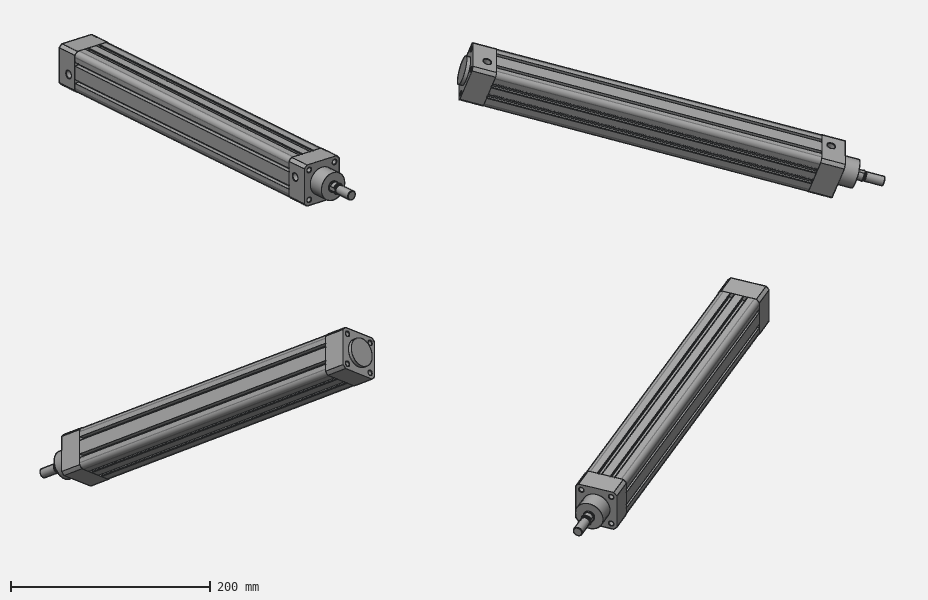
import cadquery as cq

rear_boss_length = 4.0
body_length = 394.0
cap_length = 25.0
front_boss_length = 18.0
flats_length = 8.2
rod_stickout = 27.0
thread_length = 21.0

rear_cap_start = rear_boss_length
rear_cap_end = rear_cap_start + cap_length
front_cap_end = rear_cap_start + body_length
front_cap_start = front_cap_end - cap_length
shoulder_x = front_cap_end + rod_stickout
tube_length = front_cap_start - rear_cap_end
front_boss_end = front_cap_end + front_boss_length

cap_width = 45.0
cap_corner_diameter = 59.0
boss_diameter = 30.0
screw_spacing = 32.5
screw_diameter = 5.0
screw_chamfer = 0.5
screw_depth = 16.0
port_diameter = 8.0
port_chamfer = 0.5
port_depth = 10.0
port_height = 5.2
port_setback = 15.0

tube_width = 44.8
tube_corner_radius = 5.5
slot_depth = 5.0
side_slot_width = 4.0
side_slot_offset = 9.4
top_slot_width = 4.6
top_slot_inner_width = 6.5
top_slot_lip = 1.2
top_slot_offset = 7.05

rod_diameter = 12.0
flats_width = 10.0
neck_diameter = 10.8
neck_start_gap = 2.0
shoulder_chamfer = 1.0
shoulder_land = 0.2
thread_diameter = 10.0
undercut_diameter = 8.8
undercut_length = 1.0
thread_chamfer = 0.6

neck_start = front_boss_end + neck_start_gap
neck_length = shoulder_x - shoulder_chamfer - shoulder_land - neck_start


def x_cylinder(start, length, diameter):
    return cq.Workplane("YZ", origin=(start, 0, 0)).circle(diameter / 2).extrude(length)


def chamfered_hole(mouth, inward, diameter, depth, chamfer):
    """Blind hole from the mouth point along inward, with a 45 degree chamfer at the mouth."""
    radius = diameter / 2
    bore = cq.Solid.makeCylinder(radius, depth, mouth, inward)
    countersink = cq.Solid.makeCone(radius + chamfer, radius, chamfer, mouth, inward)
    return bore.fuse(countersink)


def make_cap(start, outer_face, outward, boss_length, port_z):
    """Square cap with a round boss on its outer face; outward is the X direction of that face."""
    cap = (
        cq.Workplane("YZ", origin=(start, 0, 0))
        .rect(cap_width, cap_width)
        .extrude(cap_length)
        .intersect(x_cylinder(start, cap_length, cap_corner_diameter))
    )
    cap = cap.union(x_cylinder(outer_face, outward * boss_length, boss_diameter))
    half_spacing = screw_spacing / 2
    for y in (-half_spacing, half_spacing):
        for z in (-half_spacing, half_spacing):
            mouth = cq.Vector(outer_face, y, z)
            inward = cq.Vector(-outward, 0, 0)
            cap = cap.cut(chamfered_hole(mouth, inward, screw_diameter, screw_depth, screw_chamfer))
    port_mouth = cq.Vector(outer_face - outward * port_setback, -cap_width / 2, port_z)
    port = chamfered_hole(port_mouth, cq.Vector(0, 1, 0), port_diameter, port_depth, port_chamfer)
    return cap.cut(port)


def tube_groove(y, z, y_size, z_size):
    """Rectangular bar over the full tube length, centred at (y, z), for cutting a groove."""
    return cq.Workplane("YZ", origin=(rear_cap_end, y, z)).rect(y_size, z_size).extrude(tube_length)


def make_tube():
    """Extruded profile with two plain slots in each Y side and two T-slots in each Z side."""
    tube = (
        cq.Workplane("YZ", origin=(rear_cap_end, 0, 0))
        .rect(tube_width, tube_width)
        .extrude(tube_length)
        .edges("|X")
        .fillet(tube_corner_radius)
    )
    slot_centre = tube_width / 2 - slot_depth / 2
    undercut_depth = slot_depth - top_slot_lip
    undercut_centre = slot_centre - top_slot_lip / 2
    for face in (-1, 1):
        for side in (-1, 1):
            side_z = side * side_slot_offset
            top_y = side * top_slot_offset
            tube = tube.cut(tube_groove(face * slot_centre, side_z, slot_depth, side_slot_width))
            tube = tube.cut(tube_groove(top_y, face * slot_centre, top_slot_width, slot_depth))
            tube = tube.cut(tube_groove(top_y, face * undercut_centre, top_slot_inner_width, undercut_depth))
    return tube


def make_rod():
    """Rod with a neck between two wrench flats, a chamfered shoulder and a threaded end."""
    shank = x_cylinder(front_cap_start, shoulder_x - front_cap_start, rod_diameter)
    shank = shank.faces(">X").chamfer(shoulder_chamfer)
    neck_blank = x_cylinder(neck_start, neck_length, rod_diameter)
    neck_ring = neck_blank.cut(x_cylinder(neck_start, neck_length, neck_diameter))
    shank = shank.cut(neck_ring)
    for side in (-1, 1):
        flat = cq.Workplane("XY").box(flats_length, rod_diameter, rod_diameter)
        flat_y = side * (flats_width + rod_diameter) / 2
        shank = shank.cut(flat.translate((shoulder_x - flats_length / 2, flat_y, 0)))
    undercut = x_cylinder(shoulder_x, undercut_length, undercut_diameter)
    thread = x_cylinder(shoulder_x + undercut_length, thread_length - undercut_length, thread_diameter)
    thread = thread.faces("<X or >X").chamfer(thread_chamfer)
    return shank.union(undercut).union(thread)


rear_cap = make_cap(rear_cap_start, rear_cap_start, -1, rear_boss_length, -port_height)
rod_bore = x_cylinder(front_cap_start, cap_length + front_boss_length, rod_diameter)
front_cap = make_cap(front_cap_start, front_cap_end, 1, front_boss_length, port_height).cut(rod_bore)
tube = make_tube()
rod = make_rod()

result = cq.Compound.makeCompound([rear_cap.val(), tube.val(), front_cap.val(), rod.val()])